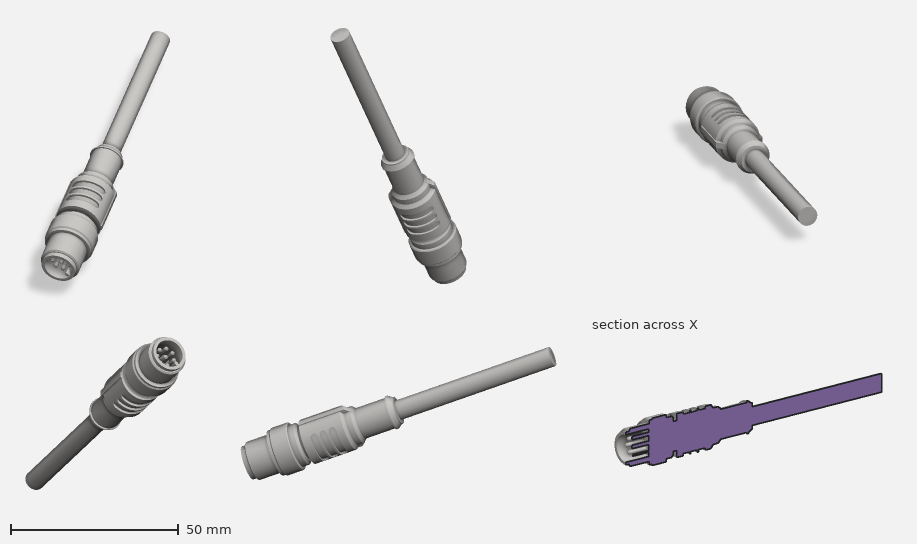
import cadquery as cq
import math


TIP_END = 1.4
SLEEVE_START = 1.8
SLEEVE_END = 9.1
FLANGE_END = 10.0
NUT_FRONT = 10.4
NUT_BACK = 15.8
COLLAR_BACK = 18.5
BODY_FRONT = 19.6
BODY_BACK = 32.8
STEP_FRONT = 33.8
STEP_BACK = 35.7
LIP_FRONT = 46.7
LIP_BACK = 47.1
BOOT_TAPER_END = 48.6
BOOT_BACK = 49.0
TOTAL_LENGTH = 98.9

CABLE_DIA = 6.0
BOOT_END_DIA = 8.5
NECK_DIA = 9.6
LIP_DIA = 10.5
TIP_DIA = 10.5
SHOULDER_DIA = 11.1
SLEEVE_DIA = 12.1
FLANGE_DIA = 14.2
NUT_DIA = 15.0
COLLAR_DIA = 13.2
BODY_DIA = 13.9
STEP_DIA = 11.7
NUT_CHAMFER = 0.3
COLLAR_CHAMFER = 0.8

NECK_START = STEP_BACK + (STEP_DIA - NECK_DIA) / 2

SOCKET_DIA = 8.5
SOCKET_DEPTH = 8.9
PIN_DIA = 1.3
PIN_CHAMFER = 0.4
PIN_RECESS = 2.3
PIN_CIRCLE_DIA = 5.5
RING_PINS = 7
PIN_STEP_ANGLE = 49.0
KEY_ANGLE = -45.0
KEY_WIDTH = 1.0
KEY_INNER_RADIUS = 3.0
KEY_RECESS = 0.6

WING_WIDTH = 1.8
WING_SPAN = 14.5

GROOVE_COUNT = 3
GROOVE_PITCH = 3.0
GROOVE_WIDTH = 2.3
GROOVE_LENGTH = 10.4
GROOVE_DEPTH = 0.7
FIRST_GROOVE_Y = 23.4


def cylinder(diameter, start, end, x=0.0, z=0.0):
    """Cylinder parallel to Y between two stations."""
    direction = cq.Vector(0, 1, 0)
    base = cq.Vector(x, start, z)
    return cq.Workplane(obj=cq.Solid.makeCylinder(diameter / 2, end - start, base, direction))


def revolved_shell():
    """Cable, boot, grip body and coupling nut as one turned solid: (diameter, station) corners."""
    corners = [
        (TIP_DIA, 0),
        (TIP_DIA, TIP_END),
        (SHOULDER_DIA, TIP_END),
        (SLEEVE_DIA, SLEEVE_START),
        (SLEEVE_DIA, SLEEVE_END),
        (FLANGE_DIA, SLEEVE_END),
        (FLANGE_DIA, FLANGE_END),
        (NUT_DIA, NUT_FRONT),
        (NUT_DIA, NUT_BACK - NUT_CHAMFER),
        (NUT_DIA - 2 * NUT_CHAMFER, NUT_BACK),
        (COLLAR_DIA, NUT_BACK),
        (COLLAR_DIA, COLLAR_BACK - COLLAR_CHAMFER),
        (COLLAR_DIA - 2 * COLLAR_CHAMFER, COLLAR_BACK),
        (NECK_DIA, COLLAR_BACK),
        (NECK_DIA, BODY_FRONT),
        (BODY_DIA, BODY_FRONT),
        (BODY_DIA, BODY_BACK),
        (STEP_DIA, STEP_FRONT),
        (STEP_DIA, STEP_BACK),
        (NECK_DIA, NECK_START),
        (NECK_DIA, LIP_FRONT),
        (LIP_DIA, LIP_FRONT),
        (LIP_DIA, LIP_BACK),
        (BOOT_END_DIA, BOOT_TAPER_END),
        (BOOT_END_DIA, BOOT_BACK),
        (CABLE_DIA, BOOT_BACK),
        (CABLE_DIA, TOTAL_LENGTH),
    ]
    outline = [(diameter / 2, station) for diameter, station in corners]
    half_section = cq.Workplane("XY").polyline([(0, 0)] + outline + [(0, TOTAL_LENGTH)]).close()
    return half_section.revolve(360, (0, 0, 0), (0, 1, 0))


def wings():
    """Flat rib along both sides of the body, its back end sloping at 45 degrees into the boot."""
    slope_start = NECK_START - (WING_SPAN - NECK_DIA) / 2
    return (
        cq.Workplane("XY")
        .polyline([
            (-WING_SPAN / 2, BODY_FRONT),
            (WING_SPAN / 2, BODY_FRONT),
            (WING_SPAN / 2, slope_start),
            (NECK_DIA / 2, NECK_START),
            (-NECK_DIA / 2, NECK_START),
            (-WING_SPAN / 2, slope_start),
        ])
        .close()
        .extrude(WING_WIDTH / 2, both=True)
    )


def grooves():
    """Round-ended finger grooves on the top and bottom, with floors concentric with the body."""
    centres = [(0, FIRST_GROOVE_Y + i * GROOVE_PITCH) for i in range(GROOVE_COUNT)]
    slots = (
        cq.Workplane("XY")
        .pushPoints(centres)
        .slot2D(GROOVE_LENGTH, GROOVE_WIDTH)
        .extrude(BODY_DIA, both=True)
    )
    return slots.cut(cylinder(BODY_DIA - 2 * GROOVE_DEPTH, BODY_FRONT, BODY_BACK))


def pin(x=0.0, z=0.0):
    """Contact pin with a chamfered tip, standing on the socket floor."""
    return cylinder(PIN_DIA, PIN_RECESS, SOCKET_DEPTH, x, z).faces("<Y").chamfer(PIN_CHAMFER)


def ring_pin(index):
    """Pin on the pin circle; the ring leaves a wider gap centred on the key."""
    first_angle = KEY_ANGLE + (360 - (RING_PINS - 1) * PIN_STEP_ANGLE) / 2
    angle = math.radians(first_angle + index * PIN_STEP_ANGLE)
    radius = PIN_CIRCLE_DIA / 2
    return pin(radius * math.cos(angle), radius * math.sin(angle))


def key():
    """Coding rib with a rounded inner edge, running along the socket wall."""
    round_centre = KEY_INNER_RADIUS + KEY_WIDTH / 2
    wall_radius = (SOCKET_DIA + TIP_DIA) / 4
    length = SOCKET_DEPTH - KEY_RECESS
    web = cq.Workplane("XY").box(
        wall_radius - round_centre, length, KEY_WIDTH, centered=(False, False, True)
    )
    web = web.translate((round_centre, KEY_RECESS, 0))
    rib = web.union(cylinder(KEY_WIDTH, KEY_RECESS, SOCKET_DEPTH, round_centre))
    return rib.rotate((0, 0, 0), (0, 1, 0), -KEY_ANGLE)


result = revolved_shell().union(wings()).cut(grooves())
result = result.cut(cylinder(SOCKET_DIA, 0, SOCKET_DEPTH)).union(key()).union(pin())
for pin_index in range(RING_PINS):
    result = result.union(ring_pin(pin_index))